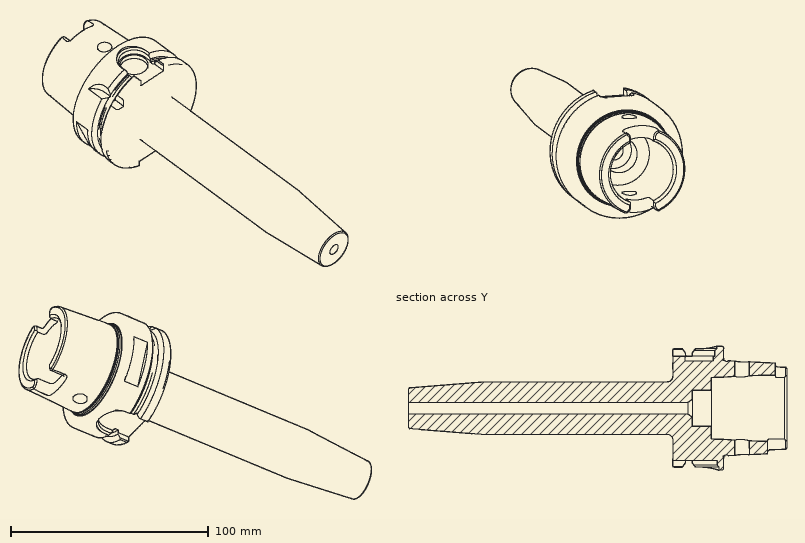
import cadquery as cq
import math

total_length = 192.0
flange_start = 32.0
flange_end = 58.0
flange_radius = 31.5

shank_front_radius = 22.7
shank_taper = 1 / 20
relief_start = 29.8
relief_step = 0.5
relief_depth = 0.4
relief_outer_radius = 25.2
front_chamfer = 0.8

rim_fillet = 1.2
groove_radius = 27.5
groove_shoulder_radius = 29.0
groove_rim_start = 46.5
groove_start = 48.2
groove_end = 51.5
groove_rim_end = 53.2
groove_front_fillet = 0.5
groove_rear_fillet = 1.0

neck_radius = 13.5
neck_fillet = 2.7
nose_start = 153.6
nose_angle = 4.5
nose_chamfer = 0.5

bore_mouth_radius = 18.0
bore_chamfer = 1.3
bore_radius = bore_mouth_radius - bore_chamfer
bore_straight_depth = 12.9
bore_floor_radius = 15.5
bore_depth = 38.4
tube_recess_radius = 9.0
tube_recess_depth = 9.6
coolant_radius = 2.9
coolant_mouth_radius = 4.6
coolant_mouth_depth = 2.3

drive_half_width = 6.1
drive_edge_radius = 3.0
drive_edge_height = 17.9
drive_floor_fillet = 1.5
upper_drive_depth = 6.0
lower_drive_depth = 9.8

cross_hole_x = 22.8
cross_hole_radius = 3.6

key_centre_x = 44.5
key_floor_height = 26.5
upper_key_half_width = 7.9
lower_key_half_width = 9.0
front_key_chamfer = 1.0
rear_key_chamfer = 0.5
chip_hole_radius = 7.1
chip_hole_depth = 2.5

notch_offset = 20.0
notch_end_radius = 8.5
notch_centre_x = 44.0

flat_start = 35.3
flat_end = 43.4
flat_top = 0.8
flat_bottom = -22.3


def shank_radius(x):
    return shank_front_radius + shank_taper * x


def turned_body():
    """Outer shape of the holder, revolved about the X axis."""
    relief_radius = shank_radius(relief_start) - relief_depth
    relief_back_end = relief_start + 3 * relief_step
    recess_bottom = flange_start + relief_depth
    nose_radius = neck_radius - (total_length - nose_start) * math.tan(math.radians(nose_angle))
    profile = (
        cq.Workplane("XZ")
        .moveTo(0, 0)
        .lineTo(0, shank_front_radius - front_chamfer)
        .lineTo(front_chamfer, shank_radius(front_chamfer))
        .lineTo(relief_start, shank_radius(relief_start))
        .lineTo(relief_start + relief_step, relief_radius)
        .lineTo(relief_start + 2 * relief_step, relief_radius)
        .lineTo(relief_back_end, shank_radius(relief_back_end))
        .lineTo(recess_bottom, shank_radius(recess_bottom))
        .lineTo(recess_bottom, relief_outer_radius - relief_depth)
        .lineTo(flange_start, relief_outer_radius)
        .lineTo(flange_start, flange_radius - rim_fillet)
        .radiusArc((flange_start + rim_fillet, flange_radius), rim_fillet)
        .lineTo(groove_rim_start, flange_radius)
        .lineTo(groove_start, groove_shoulder_radius)
        .lineTo(groove_start, groove_radius + groove_front_fillet)
        .radiusArc((groove_start + groove_front_fillet, groove_radius), -groove_front_fillet)
        .lineTo(groove_end - groove_rear_fillet, groove_radius)
        .radiusArc((groove_end, groove_radius + groove_rear_fillet), -groove_rear_fillet)
        .lineTo(groove_end, groove_shoulder_radius)
        .lineTo(groove_rim_end, flange_radius)
        .lineTo(flange_end - rim_fillet, flange_radius)
        .radiusArc((flange_end, flange_radius - rim_fillet), rim_fillet)
        .lineTo(flange_end, neck_radius + neck_fillet)
        .radiusArc((flange_end + neck_fillet, neck_radius), -neck_fillet)
        .lineTo(nose_start, neck_radius)
        .lineTo(total_length - nose_chamfer, nose_radius)
        .lineTo(total_length, nose_radius - nose_chamfer)
        .lineTo(total_length, 0)
        .close()
    )
    return profile.revolve(360, (0, 0, 0), (1, 0, 0))


def stepped_bore():
    """Chamfered mouth, straight then narrowing bore, tube recess and coolant hole as one cutter."""
    recess_end = bore_depth + tube_recess_depth
    profile = (
        cq.Workplane("XY")
        .moveTo(0, 0)
        .lineTo(0, bore_mouth_radius)
        .lineTo(bore_chamfer, bore_radius)
        .lineTo(bore_straight_depth, bore_radius)
        .lineTo(bore_depth, bore_floor_radius)
        .lineTo(bore_depth, tube_recess_radius)
        .lineTo(recess_end, tube_recess_radius)
        .lineTo(recess_end, coolant_mouth_radius)
        .lineTo(recess_end + coolant_mouth_depth, coolant_radius)
        .lineTo(total_length, coolant_radius)
        .lineTo(total_length, 0)
        .close()
    )
    return profile.revolve(360, (0, 0, 0), (1, 0, 0))


def drive_outline(grow):
    """Slot cross-section with arcs flaring out at the top; grow sets its walls and arcs back."""
    arc_radius = drive_edge_radius - grow
    half_width = drive_half_width + grow
    flare_half_width = drive_half_width + drive_edge_radius
    flare_height = drive_edge_height + arc_radius
    arc_y = flare_half_width - arc_radius * math.sqrt(0.5)
    arc_z = drive_edge_height + arc_radius * math.sqrt(0.5)
    return (
        cq.Workplane("YZ")
        .moveTo(-half_width, 0)
        .lineTo(half_width, 0)
        .lineTo(half_width, drive_edge_height)
        .threePointArc((arc_y, arc_z), (flare_half_width, flare_height))
        .lineTo(flare_half_width, flange_radius)
        .lineTo(-flare_half_width, flange_radius)
        .lineTo(-flare_half_width, flare_height)
        .threePointArc((-arc_y, arc_z), (-half_width, drive_edge_height))
        .close()
    )


def drive_slot(depth):
    """Slot cutter on the +Z side with a chamfered mouth and a filleted floor."""
    slot = drive_outline(0).extrude(depth).faces(">X").edges("|Z").fillet(drive_floor_fillet)
    mouth = drive_outline(front_chamfer).extrude(front_chamfer, taper=45)
    return slot.union(mouth)


def round_ended_slot(centre_x, centre_y, half_width, floor_height):
    """Slot cutter on the +Z side, open towards +X with a round end towards -X."""
    length = flange_end - centre_x
    height = flange_radius - floor_height
    base = cq.Workplane("XY").workplane(offset=floor_height).center(centre_x, centre_y)
    straight = base.center(length / 2, 0).rect(length, 2 * half_width).extrude(height)
    round_end = base.circle(half_width).extrude(height)
    return round_end.union(straight)


def key_edge_chamfer(half_width, chamfer, start, end):
    """Wider shallow slot with sloping sides that chamfers the key slot's rim between two X positions."""
    wide = half_width + chamfer
    base_height = math.sqrt(flange_radius**2 - wide**2) - chamfer
    band = round_ended_slot(key_centre_x, 0, wide, base_height).faces("<Z").chamfer(chamfer)
    stretch = (
        cq.Workplane("YZ")
        .workplane(offset=start)
        .rect(2 * flange_radius, 2 * flange_radius)
        .extrude(end - start)
    )
    return band.intersect(stretch)


def key_slot(half_width):
    """Key slot cutter whose rim chamfer is wider ahead of the groove than behind it."""
    slot = round_ended_slot(key_centre_x, 0, half_width, key_floor_height)
    front = key_edge_chamfer(half_width, front_key_chamfer, flange_start, groove_start)
    rear = key_edge_chamfer(half_width, rear_key_chamfer, groove_end, flange_end)
    return slot.union(front).union(rear)


def below(cutter):
    """Turn a +Z side cutter over to the -Z side."""
    return cutter.rotate((0, 0, 0), (1, 0, 0), 180)


def corner_notch():
    """Square step in the flange corner between -Y and +Z, with a round end."""
    centre_y = -notch_offset - notch_end_radius
    return round_ended_slot(notch_centre_x, centre_y, notch_end_radius, notch_offset)


def label_flat():
    """Segment cut from the -Y side of the flange along a chord between two heights."""
    top_y = -math.sqrt(flange_radius**2 - flat_top**2)
    bottom_y = -math.sqrt(flange_radius**2 - flat_bottom**2)
    outside_y = -2 * flange_radius
    return (
        cq.Workplane("YZ")
        .workplane(offset=flat_start)
        .moveTo(top_y, flat_top)
        .lineTo(bottom_y, flat_bottom)
        .lineTo(outside_y, flat_bottom)
        .lineTo(outside_y, flat_top)
        .close()
        .extrude(flat_end - flat_start)
    )


def chip_hole():
    """Shallow round pocket in the floor of the upper key slot."""
    return (
        cq.Workplane("XY")
        .workplane(offset=key_floor_height - chip_hole_depth)
        .center(key_centre_x, 0)
        .circle(chip_hole_radius)
        .extrude(chip_hole_depth)
    )


def cross_hole():
    return (
        cq.Workplane("XY")
        .center(cross_hole_x, 0)
        .circle(cross_hole_radius)
        .extrude(flange_radius, both=True)
    )


result = turned_body().cut(stepped_bore())
result = result.cut(drive_slot(upper_drive_depth))
result = result.cut(below(drive_slot(lower_drive_depth)))
result = result.cut(cross_hole())
result = result.cut(key_slot(upper_key_half_width))
result = result.cut(below(key_slot(lower_key_half_width)))
result = result.cut(chip_hole())
result = result.cut(corner_notch())
result = result.cut(label_flat())